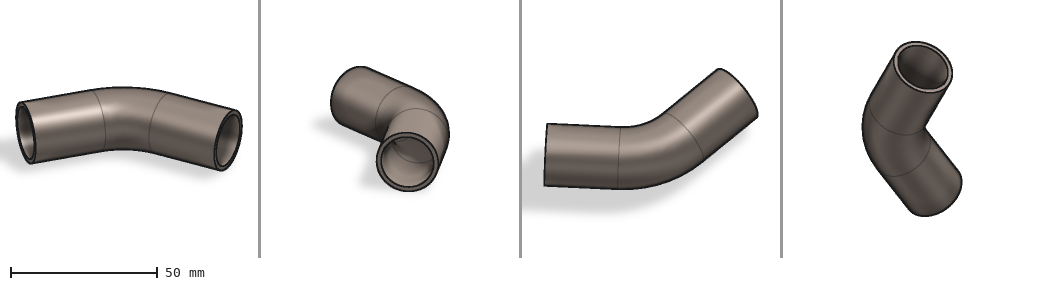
import cadquery as cq
import math

outer_diameter = 21.3
inner_diameter = 18.1
leg_length = 25.0
bend_radius = 30.0
bend_angle = 45.0

angle = math.radians(bend_angle)
bend_end = (
    bend_radius * (1 - math.cos(angle)),
    leg_length + bend_radius * math.sin(angle),
    0,
)
outlet_direction = (math.sin(angle), math.cos(angle), 0)


def pipe_section(origin, direction):
    """Ring-shaped pipe section, square to the given direction."""
    plane = cq.Plane(origin=origin, xDir=(0, 0, 1), normal=direction)
    return cq.Workplane(plane).circle(outer_diameter / 2).circle(inner_diameter / 2)


def straight_leg(origin, direction):
    return pipe_section(origin, direction).extrude(leg_length)


def bend():
    """Section turned about a vertical axis on the +X side of the inlet."""
    return pipe_section((0, leg_length, 0), (0, 1, 0)).revolve(
        bend_angle, (0.7, bend_radius, 0), (0, bend_radius, 0)
    )


inlet = straight_leg((0, 0, 0), (0, 1, 0))
outlet = straight_leg(bend_end, outlet_direction)

result = inlet.union(bend()).union(outlet)